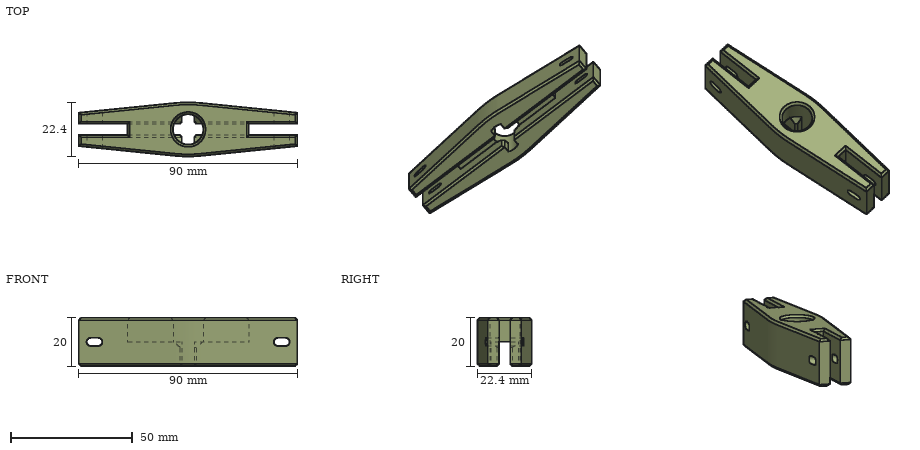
import cadquery as cq
import math

length = 90.0
width = 22.4
height = 20.0
edge_chamfer = 1.0
half_length = length / 2
half_width = width / 2
half_height = height / 2

crown_half_length = 5.0
crown_radius = 50.0
taper_angle = math.asin(crown_half_length / crown_radius)
crown_end_y = half_width - crown_radius * (1 - math.cos(taper_angle))
tip_half_width = crown_end_y - (half_length - crown_half_length) * math.tan(taper_angle)

fork_gap = 4.5
fork_slot_end_x = 25.0
channel_top_z = 0.0

pin_slot_length = 6.4
pin_slot_height = 3.2
pin_slot_x = 38.5

bore_diameter = 12.4
lower_bore_diameter = 8.1
cross_slot_width = 5.0
bore_floor_z = channel_top_z
bore_radius = bore_diameter / 2
lower_bore_radius = lower_bore_diameter / 2
seat_depth = bore_radius - lower_bore_radius


def make_body():
    """Tapered bar, centred on the origin."""
    return (
        cq.Workplane("XY", origin=(0, 0, -half_height))
        .moveTo(-half_length, -tip_half_width)
        .lineTo(-crown_half_length, -crown_end_y)
        .threePointArc((0, -half_width), (crown_half_length, -crown_end_y))
        .lineTo(half_length, -tip_half_width)
        .lineTo(half_length, tip_half_width)
        .lineTo(crown_half_length, crown_end_y)
        .threePointArc((0, half_width), (-crown_half_length, crown_end_y))
        .lineTo(-half_length, tip_half_width)
        .close()
        .extrude(height)
    )


def make_fork_cutter():
    """Full-height slots at both ends, joined by the channel along the underside."""
    channel_height = channel_top_z + half_height
    base = cq.Workplane("XY", origin=(0, 0, -half_height))
    slots = base.box(length, fork_gap, channel_height, centered=(True, True, False))
    slot_length = half_length - fork_slot_end_x
    for side in (-1, 1):
        slot_x = side * (half_length + fork_slot_end_x) / 2
        end_slot = cq.Workplane("XY", origin=(slot_x, 0, 0)).box(slot_length, fork_gap, height)
        slots = slots.union(end_slot)
    return slots


def make_pin_slots():
    """Oblong holes across the full width, one near each end."""
    return (
        cq.Workplane("XZ")
        .pushPoints([(-pin_slot_x, 0), (pin_slot_x, 0)])
        .slot2D(pin_slot_length, pin_slot_height)
        .extrude(half_width, both=True)
    )


def make_bore():
    """Chamfered bore that narrows through a 45 degree seat to the lower hole."""
    return (
        cq.Workplane("XZ")
        .moveTo(0, -half_height)
        .lineTo(lower_bore_radius, -half_height)
        .lineTo(lower_bore_radius, bore_floor_z - seat_depth)
        .lineTo(bore_radius, bore_floor_z)
        .lineTo(bore_radius, half_height - edge_chamfer)
        .lineTo(bore_radius + edge_chamfer, half_height)
        .lineTo(0, half_height)
        .close()
        .revolve(360, (0, 0, 0), (0, 1, 0))
    )


def make_cross_slot():
    """Slot below the bore floor, across the channel and bounded by the bore circle."""
    depth = bore_floor_z + half_height
    base = cq.Workplane("XY", origin=(0, 0, -half_height))
    bar = base.box(cross_slot_width, bore_diameter, depth, centered=(True, True, False))
    return bar.intersect(base.circle(bore_radius).extrude(depth))


forked_body = make_body().cut(make_fork_cutter())
chamfered_body = forked_body.faces(">Z or <Z").edges().chamfer(edge_chamfer)
result = chamfered_body.cut(make_pin_slots()).cut(make_bore()).cut(make_cross_slot())